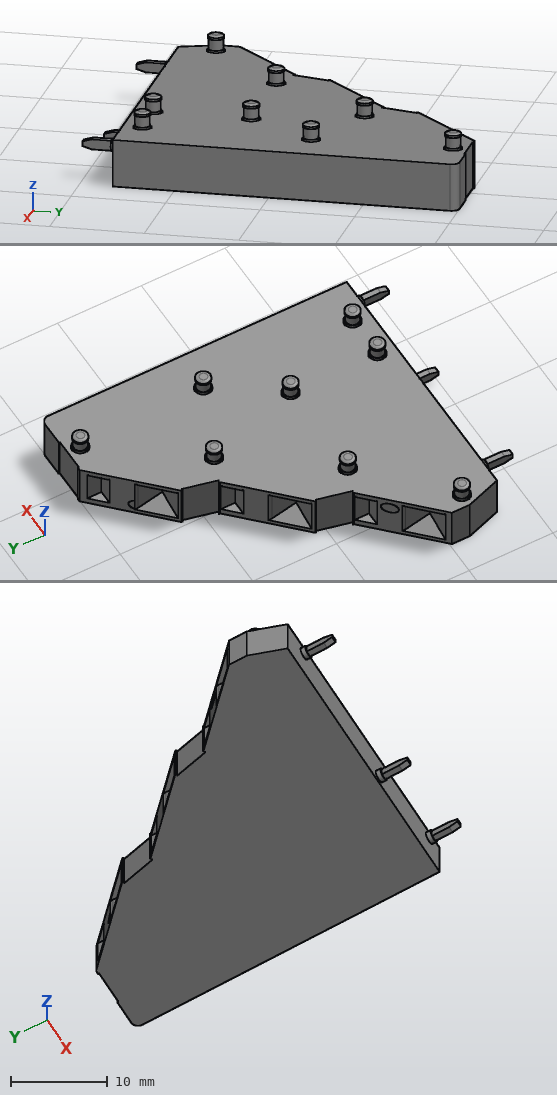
import cadquery as cq
import math

WIDTH = 32.2
DEPTH = 36.5
PITCH = 5.08
THICKNESS = PITCH
CORNER_RADIUS = 0.85

STEP_X = 8.19
STEP_Y = 11.2
STEP_COUNT = 3
FACE_LOW_Y = 6.2
FACE_RISE = 7.38
LIP_HEIGHT = 0.16
FLANK_BOTTOM_INSET = 0.3
FLANK_TOP_INSET = 0.4
FACE_TRIM = 0.23
FOOT_TOP_Y = 4.05
FOOT_X = 1.4
TOP_RECESS_START_X = 24.7
TOP_RECESS_END_X = 28.55
TOP_RECESS_DEPTH = 0.12

NOTCH_START = 5.63
NOTCH_END = 7.33
NOTCH_LOW_Z = 0.75
NOTCH_HIGH_Z = 4.45
FUNNEL_START = 0.48
FUNNEL_END = 3.75
FUNNEL_LOW_Z = 0.52
FUNNEL_HIGH_Z = 4.55
FUNNEL_LIP_WIDTH = 0.35
FUNNEL_LIP_DEPTH = 0.06
FUNNEL_LOW_TAPER = 0.95
FUNNEL_HIGH_TAPER = 0.4

PEG_HEIGHT = 1.8
PEG_FOOT_RADIUS = 0.82
PEG_FOOT_HEIGHT = 0.18
PEG_SHANK_RADIUS = 0.78
PEG_HEAD_RADIUS = 0.86
PEG_HEAD_START = 1.35
PEG_CROWN_RADIUS = 0.45
PEG_CROWN_DROP = 0.2
SEAT_RADIUS = 0.96
SEAT_DEPTH = 0.2
GRID_PEG_X = 22.35
GRID_PEG_Y = 2.08
STEP_PEG_X = 10.63
STEP_PEG_Y = 12.44
PEG_CENTRES = [
    (1.66, 4.05),
    (GRID_PEG_X, GRID_PEG_Y),
    (GRID_PEG_X + PITCH, GRID_PEG_Y),
    (GRID_PEG_X, STEP_PEG_Y),
    (GRID_PEG_X + PITCH, 19.91),
] + [(STEP_PEG_X + i * STEP_X, STEP_PEG_Y + i * STEP_Y) for i in range(STEP_COUNT)]

PIN_LENGTH = 3.6
PIN_WIDTH = 0.72
PIN_HEIGHT = 1.1
PIN_TIP_HEIGHT = 0.5
PIN_TIP_LENGTH = 1.0
COLLAR_RADIUS = 0.68
COLLAR_LENGTH = 0.55
FIRST_PIN_X = 4.67
LOW_PIN_Z = PITCH / 4
HIGH_PIN_Z = 3 * PITCH / 4
PINS = [
    (FIRST_PIN_X, HIGH_PIN_Z),
    (FIRST_PIN_X + 3 * PITCH, LOW_PIN_Z),
    (FIRST_PIN_X + 5 * PITCH, HIGH_PIN_Z),
]
PIN_END_PROUD = 0.03


def face_origin(step):
    """Lower end of a 45 degree face."""
    return step * STEP_X, FACE_LOW_Y + step * STEP_Y


def housing():
    edge = [(FOOT_X, 0), (0, FOOT_TOP_Y), face_origin(0)]
    for step in range(STEP_COUNT - 1):
        x, y = face_origin(step)
        top_x, top_y = x + FACE_RISE, y + FACE_RISE
        next_x, next_y = face_origin(step + 1)
        edge += [
            (top_x, top_y),
            (top_x, top_y + LIP_HEIGHT),
            (top_x + FLANK_BOTTOM_INSET, top_y),
            (next_x + FLANK_TOP_INSET, next_y + FACE_TRIM - LIP_HEIGHT),
            (next_x + FACE_TRIM, next_y + FACE_TRIM - LIP_HEIGHT),
            (next_x + FACE_TRIM, next_y + FACE_TRIM),
        ]
    last_x, last_y = face_origin(STEP_COUNT - 1)
    edge += [(last_x + DEPTH - last_y, DEPTH), (WIDTH, DEPTH), (WIDTH, 0)]
    body = cq.Workplane("XY").polyline(edge).close().extrude(THICKNESS)
    corner = cq.selectors.NearestToPointSelector((WIDTH, DEPTH, THICKNESS / 2))
    body = body.edges(corner).fillet(CORNER_RADIUS)
    recess = cq.Workplane("XY").box(
        TOP_RECESS_END_X - TOP_RECESS_START_X, TOP_RECESS_DEPTH, THICKNESS, centered=False
    )
    return body.cut(recess.translate((TOP_RECESS_START_X, DEPTH - TOP_RECESS_DEPTH, 0)))


def notch(step):
    """Triangular pocket with an upright floor facing -X."""
    x, y = face_origin(step)
    corners = [
        (x + NOTCH_START, y + NOTCH_START),
        (x + NOTCH_END, y + NOTCH_END),
        (x + NOTCH_END, y + NOTCH_START),
    ]
    prism = cq.Workplane("XY").polyline(corners).close().extrude(NOTCH_HIGH_Z - NOTCH_LOW_Z)
    return prism.translate((0, 0, NOTCH_LOW_Z))


def funnel(step):
    """Wire entry: triangular pocket whose lower and upper walls close in with depth."""
    x, y = face_origin(step)
    lip = FUNNEL_END - FUNNEL_LIP_WIDTH
    corners = [
        (x + FUNNEL_START, y + FUNNEL_START),
        (x + FUNNEL_START - PIN_END_PROUD, y + FUNNEL_START + PIN_END_PROUD),
        (x + FUNNEL_END - PIN_END_PROUD, y + FUNNEL_END + PIN_END_PROUD),
        (x + FUNNEL_END, y + FUNNEL_END),
        (x + FUNNEL_END - FUNNEL_LIP_DEPTH, y + lip),
        (x + FUNNEL_END - FUNNEL_LIP_DEPTH, y + FUNNEL_START),
    ]
    prism = cq.Workplane("XY").polyline(corners).close().extrude(THICKNESS)

    depth = (FUNNEL_END - FUNNEL_START) * math.sqrt(0.5)
    length = (FUNNEL_END - FUNNEL_START) * math.sqrt(2)
    section = [
        (-PIN_END_PROUD, FUNNEL_LOW_Z),
        (0, FUNNEL_LOW_Z),
        (depth, FUNNEL_LOW_Z + FUNNEL_LOW_TAPER),
        (depth, FUNNEL_HIGH_Z - FUNNEL_HIGH_TAPER),
        (0, FUNNEL_HIGH_Z),
        (-PIN_END_PROUD, FUNNEL_HIGH_Z),
    ]
    mouth_end = (x + FUNNEL_END, y + FUNNEL_END, 0)
    across_face = cq.Plane(origin=mouth_end, xDir=(1, -1, 0), normal=(-1, -1, 0))
    taper = cq.Workplane(across_face).polyline(section).close().extrude(length)
    return prism.intersect(taper)


def pin_end(pin, step):
    """Rear end of a pin, cut parallel to the 45 degree face."""
    pin_x, pin_z = pin
    face_x, face_y = face_origin(step)
    surface_y = face_y + pin_x - face_x
    rod = cq.Workplane("XZ", origin=(pin_x, surface_y + PITCH / 2, pin_z))
    rod = rod.circle(COLLAR_RADIUS).extrude(PITCH)
    reach = 2 * COLLAR_RADIUS
    layer = [
        (pin_x - reach, surface_y - reach - PIN_END_PROUD),
        (pin_x + reach, surface_y + reach - PIN_END_PROUD),
        (pin_x + reach, surface_y + reach + PIN_END_PROUD),
        (pin_x - reach, surface_y - reach + PIN_END_PROUD),
    ]
    slab = cq.Workplane("XY").polyline(layer).close().extrude(THICKNESS)
    return rod.intersect(slab)


def peg_seat(centre):
    seat = cq.Workplane("XY", origin=(*centre, THICKNESS - SEAT_DEPTH))
    return seat.circle(SEAT_RADIUS).extrude(SEAT_DEPTH)


def peg(centre):
    """Low foot, plain shank, wider head and a rounded crown with a flat top."""
    crown_width = PEG_HEAD_RADIUS - PEG_CROWN_RADIUS
    arc_radius = (crown_width**2 + PEG_CROWN_DROP**2) / (2 * PEG_CROWN_DROP)
    half_angle = math.asin(crown_width / arc_radius) / 2
    crown_mid = (
        PEG_CROWN_RADIUS + arc_radius * math.sin(half_angle),
        PEG_HEIGHT - arc_radius * (1 - math.cos(half_angle)),
    )
    profile = (
        cq.Workplane("XZ")
        .moveTo(0, -SEAT_DEPTH)
        .lineTo(PEG_FOOT_RADIUS, -SEAT_DEPTH)
        .lineTo(PEG_FOOT_RADIUS, PEG_FOOT_HEIGHT)
        .lineTo(PEG_SHANK_RADIUS, PEG_FOOT_HEIGHT)
        .lineTo(PEG_SHANK_RADIUS, PEG_HEAD_START)
        .lineTo(PEG_HEAD_RADIUS, PEG_HEAD_START)
        .lineTo(PEG_HEAD_RADIUS, PEG_HEIGHT - PEG_CROWN_DROP)
        .threePointArc(crown_mid, (PEG_CROWN_RADIUS, PEG_HEIGHT))
        .lineTo(0, PEG_HEIGHT)
        .close()
    )
    turned = profile.revolve(360, (0, 0, 0), (0, 1, 0))
    return turned.translate((*centre, THICKNESS))


def solder_pin(pin):
    """Round collar and a flat blade whose tip tapers in height."""
    pin_x, pin_z = pin
    front = cq.Workplane("XZ", origin=(pin_x, 0, pin_z))
    collar = front.circle(COLLAR_RADIUS).extrude(COLLAR_LENGTH)
    outline = [
        (0, PIN_HEIGHT / 2),
        (PIN_TIP_LENGTH - PIN_LENGTH, PIN_HEIGHT / 2),
        (-PIN_LENGTH, PIN_TIP_HEIGHT / 2),
        (-PIN_LENGTH, -PIN_TIP_HEIGHT / 2),
        (PIN_TIP_LENGTH - PIN_LENGTH, -PIN_HEIGHT / 2),
        (0, -PIN_HEIGHT / 2),
    ]
    side = cq.Workplane("YZ", origin=(pin_x, 0, pin_z))
    blade = side.polyline(outline).close().extrude(PIN_WIDTH / 2, both=True)
    return collar.union(blade)


result = housing()
result = result.union(pin_end(PINS[0], 0))
result = result.union(pin_end(PINS[1], STEP_COUNT - 1))
for step_index in range(STEP_COUNT):
    result = result.cut(notch(step_index))
    result = result.cut(funnel(step_index))
for peg_centre in PEG_CENTRES:
    result = result.cut(peg_seat(peg_centre))
    result = result.union(peg(peg_centre))
for pin_place in PINS:
    result = result.union(solder_pin(pin_place))